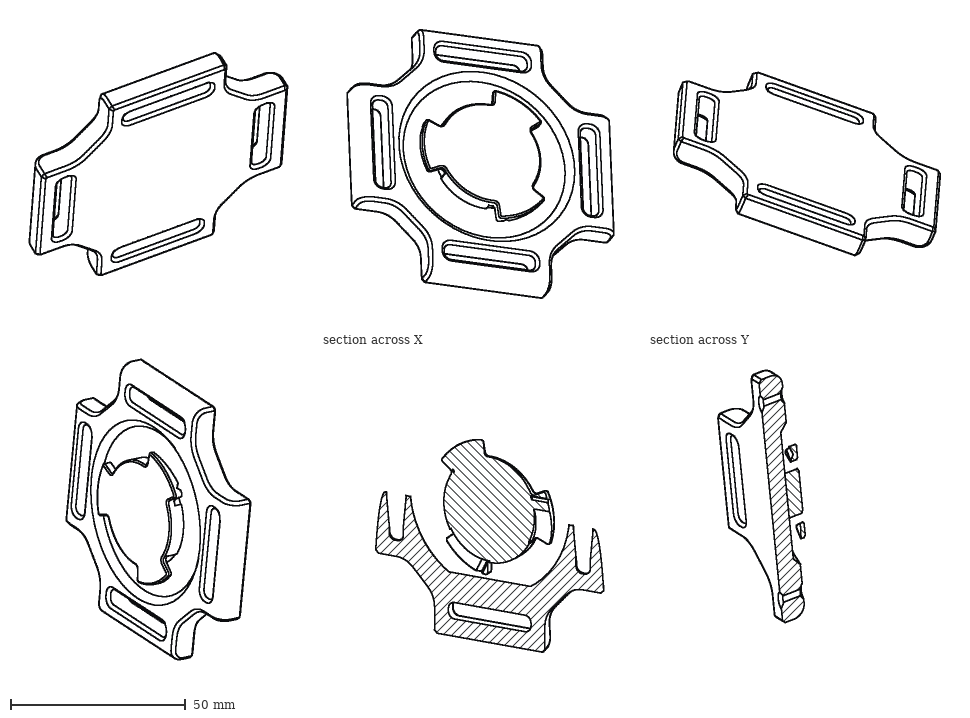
import cadquery as cq
import math

TILT = 6.0

SPAN = 79.0
THICKNESS = 7.9
ARM_COUNT = 4
ARM_HALF_WIDTH = 18.9
CORNER_REACH = 28.45
CORNER_RADIUS = 7.9
TIP_RADIUS = 3.95
EDGE_CHAMFER = 0.95

SLOT_OFFSET = 31.8
SLOT_WIDTH = 4.75
SLOT_LENGTH = 28.0
SLOT_CORNER = 2.0

RECESS_RIM_RADIUS = 26.9
RECESS_FLOOR_RADIUS = 24.8
RECESS_DEPTH = 2.1

MOUNT_PROTRUSION = 2.6
HUB_RADIUS = 15.7
LOBE_RADIUS = 20.6
LOBE_COUNT = 3
LOBE_HALF_ANGLE = 24.0
LOBE_LEAD_THICKNESS = 1.3
LOBE_FULL_THICKNESS = 2.5
LOBE_TIP_ROUND = 0.8
LOBE_ROOT_ROUND = 1.1
MOUNT_CHAMFER = 0.5

UNDERCUT_RADIUS = 15.3
UNDERCUT_HALF_ANGLE = 30.0
DETENT_THICKNESS = 1.5
DETENT_START = 4.7
DETENT_BOTTOM = 5.9
DETENT_END = 6.7

HALF_SPAN = SPAN / 2
FRONT = -THICKNESS / 2
RECESS_FLOOR = FRONT + RECESS_DEPTH
MOUNT_FACE = FRONT - MOUNT_PROTRUSION
MOUNT_HEIGHT = RECESS_FLOOR - MOUNT_FACE
LOBE_HALF_WIDTH = LOBE_RADIUS * math.sin(math.radians(LOBE_HALF_ANGLE))
UNDERCUT_REACH = LOBE_RADIUS + LOBE_TIP_ROUND
UNDERCUT_HALF_WIDTH = UNDERCUT_REACH * math.sin(math.radians(UNDERCUT_HALF_ANGLE))
HAIR = 0.01


def edge_along_x(y, z):
    """Selector for the edge that runs along X at the given place."""
    return cq.selectors.BoxSelector((-SPAN, y - HAIR, z - HAIR), (SPAN, y + HAIR, z + HAIR))


def cross_outline():
    """Corner points of a four armed cross with diagonal inner corners."""
    quarter = [
        (HALF_SPAN, -ARM_HALF_WIDTH),
        (HALF_SPAN, ARM_HALF_WIDTH),
        (CORNER_REACH, ARM_HALF_WIDTH),
        (ARM_HALF_WIDTH, CORNER_REACH),
    ]
    points = []
    for turn in range(ARM_COUNT):
        for y, z in quarter:
            for _ in range(turn):
                y, z = -z, y
            points.append((y, z))
    return points


def round_inner_corners(body):
    """Round both ends of every diagonal between two arms."""
    for y_sign in (-1, 1):
        for z_sign in (-1, 1):
            for y, z in ((CORNER_REACH, ARM_HALF_WIDTH), (ARM_HALF_WIDTH, CORNER_REACH)):
                body = body.edges(edge_along_x(y_sign * y, z_sign * z)).fillet(CORNER_RADIUS)
    return body


def slot_cutter(angle):
    """Strap slot with both mouths flared by the edge chamfer, turned to one arm."""
    flare = 2 * EDGE_CHAMFER
    slot = (
        cq.Workplane("YZ", origin=(FRONT, SLOT_OFFSET, 0))
        .rect(SLOT_WIDTH, SLOT_LENGTH)
        .extrude(THICKNESS)
        .edges("|X")
        .fillet(SLOT_CORNER)
    )
    mouth = (
        cq.Workplane("YZ", origin=(FRONT, SLOT_OFFSET, 0))
        .rect(SLOT_WIDTH + flare, SLOT_LENGTH + flare)
        .extrude(EDGE_CHAMFER + HAIR)
        .edges("|X")
        .fillet(SLOT_CORNER + EDGE_CHAMFER)
        .faces(">X")
        .chamfer(EDGE_CHAMFER)
    )
    flared_slot = slot.union(mouth).union(mouth.mirror("YZ"))
    return flared_slot.rotate((0, 0, 0), (1, 0, 0), angle)


def strap_plate():
    """Cross shaped plate with rounded tips, chamfered sides, four slots and a round recess."""
    body = cq.Workplane("YZ", origin=(FRONT, 0, 0)).polyline(cross_outline()).close().extrude(THICKNESS)
    body = round_inner_corners(body)
    for tip in ("<Y", ">Y", "<Z", ">Z"):
        body = body.faces(tip).edges("<X").fillet(TIP_RADIUS)
    upright_arms = cq.selectors.BoxSelector(
        (-THICKNESS, -ARM_HALF_WIDTH - HAIR, -SPAN), (0, ARM_HALF_WIDTH + HAIR, SPAN)
    )
    body = body.faces("<X").edges(upright_arms).edges("|Z").chamfer(EDGE_CHAMFER)
    body = body.faces(">X").chamfer(EDGE_CHAMFER)
    for arm in range(ARM_COUNT):
        body = body.cut(slot_cutter(360 / ARM_COUNT * arm))
    recess = cq.Solid.makeCone(
        RECESS_RIM_RADIUS, RECESS_FLOOR_RADIUS, RECESS_DEPTH, cq.Vector(FRONT, 0, 0), cq.Vector(1, 0, 0)
    )
    return body.cut(cq.Workplane(recess))


def about_axis(body, index):
    """Turn a feature drawn on the +Y side to one of the equally spaced lobes."""
    return body.rotate((0, 0, 0), (1, 0, 0), 360 / LOBE_COUNT * index)


def near_edge(radius, angle):
    """Selector for the edge along X at the given radius and angle from +Y."""
    return edge_along_x(radius * math.cos(math.radians(angle)), radius * math.sin(math.radians(angle)))


def sector(radius, half_angle):
    """Pie slice of full mount height, centred on +Y."""
    y = radius * math.cos(math.radians(half_angle))
    z = radius * math.sin(math.radians(half_angle))
    return (
        cq.Workplane("YZ", origin=(MOUNT_FACE, 0, 0))
        .lineTo(y, -z)
        .threePointArc((radius, 0), (y, z))
        .close()
        .extrude(MOUNT_HEIGHT)
    )


def lobed_column():
    """Hub and lobes as one outline, run from the mount face down to the recess floor."""
    column = cq.Workplane("YZ", origin=(MOUNT_FACE, 0, 0)).circle(HUB_RADIUS).extrude(MOUNT_HEIGHT)
    for i in range(LOBE_COUNT):
        column = column.union(about_axis(sector(LOBE_RADIUS, LOBE_HALF_ANGLE), i))
    for i in range(LOBE_COUNT):
        for flank in (-LOBE_HALF_ANGLE, LOBE_HALF_ANGLE):
            angle = 360 / LOBE_COUNT * i + flank
            column = column.edges(near_edge(LOBE_RADIUS, angle)).fillet(LOBE_TIP_ROUND)
            column = column.edges(near_edge(HUB_RADIUS, angle)).fillet(LOBE_ROOT_ROUND)
    return column.faces("<X").chamfer(MOUNT_CHAMFER)


def lobe_undercut():
    """Space behind one lobe, leaving a ramp, a V detent and an end stop on its back."""
    back = [
        (-UNDERCUT_HALF_WIDTH, LOBE_LEAD_THICKNESS),
        (-LOBE_HALF_WIDTH, LOBE_LEAD_THICKNESS),
        (DETENT_START, LOBE_FULL_THICKNESS),
        (DETENT_BOTTOM, DETENT_THICKNESS),
        (DETENT_END, LOBE_FULL_THICKNESS),
        (UNDERCUT_HALF_WIDTH, LOBE_FULL_THICKNESS),
    ]
    floor = [(UNDERCUT_HALF_WIDTH, MOUNT_HEIGHT), (-UNDERCUT_HALF_WIDTH, MOUNT_HEIGHT)]
    space = (
        cq.Workplane("ZX", origin=(MOUNT_FACE, 0, 0))
        .polyline(back + floor)
        .close()
        .extrude(UNDERCUT_REACH)
    )
    core = cq.Workplane("YZ", origin=(MOUNT_FACE, 0, 0)).circle(UNDERCUT_RADIUS).extrude(MOUNT_HEIGHT)
    return space.intersect(sector(UNDERCUT_REACH, UNDERCUT_HALF_ANGLE)).cut(core)


def bayonet_mount():
    """Round hub with three undercut bayonet lobes."""
    body = lobed_column()
    for i in range(LOBE_COUNT):
        body = body.cut(about_axis(lobe_undercut(), i))
    return body


def tilted(body):
    return body.rotate((0, 0, 0), (0, 1, 0), TILT)


plate = tilted(strap_plate())
mount = tilted(bayonet_mount())
result = cq.Compound.makeCompound([plate.val(), mount.val()])